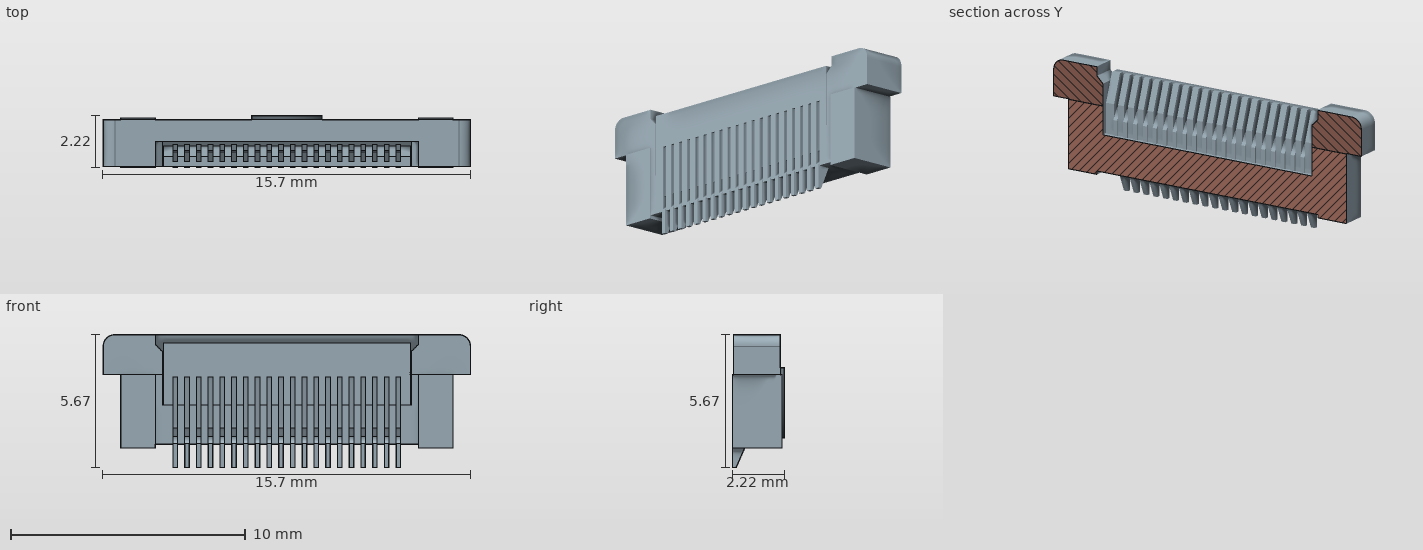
import cadquery as cq
import math


contact_count = 20
contact_pitch = 0.5
contact_width = 0.2
contact_top = 3.86

total_height = 5.67
block_bottom = 0.84
wall_bottom = 0.99
pocket_floor = 2.68
cover_height = 1.7
cover_bottom = total_height - cover_height
plate_top = 5.32

board_face = -0.05
wall_back = 2.0
block_back_step = 0.07
block_back = wall_back + block_back_step
mouth_back = 1.07

block_inner_x = 5.6
block_outer_x = 7.08
cover_length = 15.65
cover_corner_radius = 0.5
mouth_half_length = 5.3
plate_side_gap = 0.04
mouth_straight_depth = 0.42

pad_diameter = 3.0
pad_thickness = 0.17
pad_centre_z = 2.77

plate_tip_thickness = 0.42
plate_root_thickness = 0.88
plate_web_thickness = 0.225
plate_taper_angle = 70

beam_front = 0.1
notch_front = 0.25
notch_top = 1.69
tail_shoulder = 1.03
tip_back = 0.115
tail_back = 0.483
nose_crest = 0.61
nose_break = 0.69
nose_back = 0.94
nose_upper_angle = 35
nose_lower_angle = 60


def box(x_min, x_max, y_min, y_max, z_min, z_max):
    """Box given by its limits along the three axes."""
    size = (x_max - x_min, y_max - y_min, z_max - z_min)
    return cq.Workplane("XY").box(*size, centered=False).translate((x_min, y_min, z_min))


def slope_drop(run, angle):
    """Fall along Z of a face at `angle` from horizontal over a depth `run`."""
    return run * math.tan(math.radians(angle))


def extrude_along_x(outline, width):
    """Outline of (y, z) points extruded to both sides of X = 0."""
    return cq.Workplane("YZ").polyline(outline).close().extrude(width / 2, both=True)


def contact_positions():
    first = -(contact_count - 1) * contact_pitch / 2
    return [first + index * contact_pitch for index in range(contact_count)]


def make_contact(x):
    """Contact with a sloped nose inside the cable slot and a tapered tail below the housing."""
    notch_bottom = tail_shoulder + (notch_front - board_face)
    break_z = contact_top - slope_drop(nose_break - nose_crest, nose_upper_angle)
    nose_z = break_z - slope_drop(nose_back - nose_break, nose_lower_angle)
    taper_ratio = block_bottom / (tail_back - tip_back)
    taper_top = (nose_back - tip_back) * taper_ratio
    outline = [
        (board_face, 0),
        (board_face, tail_shoulder),
        (notch_front, notch_bottom),
        (notch_front, notch_top),
        (beam_front, notch_top),
        (beam_front, contact_top),
        (nose_crest, contact_top),
        (nose_break, break_z),
        (nose_back, nose_z),
        (nose_back, taper_top),
        (tip_back, 0),
    ]
    return extrude_along_x(outline, contact_width).translate((x, 0, 0))


def make_housing():
    """Wall with end blocks, cable pocket, back pad and the contacts moulded in."""
    body = box(-block_inner_x, block_inner_x, 0, wall_back, wall_bottom, cover_bottom)
    for x_min in (-block_outer_x, block_inner_x):
        x_max = x_min + block_outer_x - block_inner_x
        body = body.union(box(x_min, x_max, board_face, block_back, block_bottom, cover_bottom))
    body = body.cut(
        box(-mouth_half_length, mouth_half_length, 0, mouth_back, pocket_floor, cover_bottom)
    )
    pad = (
        cq.Workplane("XZ", origin=(0, wall_back, pad_centre_z))
        .circle(pad_diameter / 2)
        .extrude(-pad_thickness)
    )
    body = body.union(pad)
    half_width = contact_width / 2
    for x in contact_positions():
        groove = box(x - half_width, x + half_width, 0, notch_front, wall_bottom, pocket_floor)
        body = body.cut(groove).union(make_contact(x))
    return body


def make_cover():
    """U-shaped cover with rounded top corners and a chamfered mouth open to the front."""
    cover = box(-cover_length / 2, cover_length / 2, 0, wall_back, cover_bottom, total_height)
    cover = cover.edges("|Y and >Z").fillet(cover_corner_radius)
    chamfer_top = total_height - mouth_straight_depth
    chamfer_bottom = chamfer_top - (block_inner_x - mouth_half_length)
    mouth = (
        cq.Workplane("XZ")
        .polyline([
            (-block_inner_x, total_height),
            (block_inner_x, total_height),
            (block_inner_x, chamfer_top),
            (mouth_half_length, chamfer_bottom),
            (mouth_half_length, cover_bottom),
            (-mouth_half_length, cover_bottom),
            (-mouth_half_length, chamfer_bottom),
            (-block_inner_x, chamfer_top),
        ])
        .close()
        .extrude(-mouth_back)
    )
    return cover.cut(mouth)


def make_wedge_plate():
    """Plate on the pocket floor, tapered on its back, with one slot for each contact."""
    taper_bottom = plate_top - slope_drop(
        plate_root_thickness - plate_tip_thickness, plate_taper_angle
    )
    outline = [
        (0, pocket_floor),
        (0, plate_top),
        (plate_tip_thickness, plate_top),
        (plate_root_thickness, taper_bottom),
        (plate_root_thickness, pocket_floor),
    ]
    plate = extrude_along_x(outline, 2 * (mouth_half_length - plate_side_gap))
    half_width = contact_width / 2
    for x in contact_positions():
        slot_sides = (x - half_width, x + half_width)
        plate = plate.cut(box(*slot_sides, 0, plate_root_thickness, pocket_floor, contact_top))
        plate = plate.cut(
            box(*slot_sides, plate_web_thickness, plate_root_thickness, contact_top, plate_top)
        )
    return plate


housing = make_housing().solids()
cover = make_cover().solids()
wedge_plate = make_wedge_plate().solids()

result = cq.Compound.makeCompound([housing.val(), cover.val(), wedge_plate.val()])